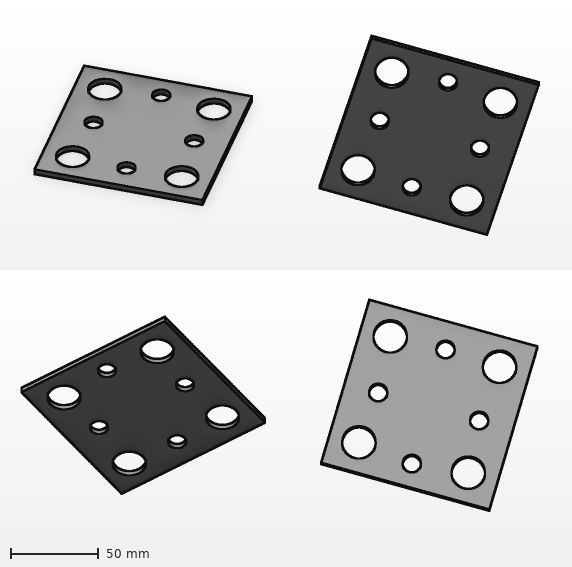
import cadquery as cq

plate_side = 100.0
plate_thickness = 3.6

corner_hole_diameter = 19.1
corner_hole_offset = 32.5
corner_hole_spacing = 2 * corner_hole_offset

small_hole_diameter = 10.4
cross_center_y = 1.2
cross_reach_x = 30.0
cross_reach_y = 35.0
small_hole_centers = [
    (-cross_reach_x, cross_center_y),
    (cross_reach_x, cross_center_y),
    (0, cross_center_y - cross_reach_y),
    (0, cross_center_y + cross_reach_y),
]

plate = cq.Workplane("XY").box(plate_side, plate_side, plate_thickness)

plate = (
    plate.faces(">Z")
    .workplane(origin=(0, 0, 0))
    .rarray(corner_hole_spacing, corner_hole_spacing, 2, 2)
    .hole(corner_hole_diameter)
)

result = (
    plate.faces(">Z")
    .workplane(origin=(0, 0, 0))
    .pushPoints(small_hole_centers)
    .hole(small_hole_diameter)
)